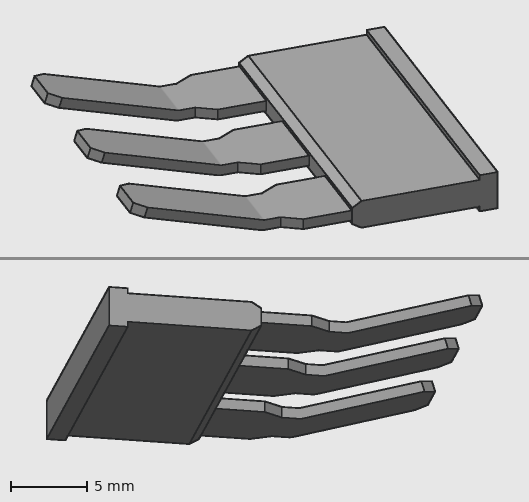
import cadquery as cq
import math

HOUSING_WIDTH = 21.2
HOUSING_DEPTH = 10.15
HOUSING_THICKNESS = 2.0
RAIL_DEPTH = 1.25
RAIL_THICKNESS = 2.7
NOSE_BEVEL_DEPTH = 0.65
NOSE_BEVEL_HEIGHT = 0.4

OVERALL_LENGTH = 25.14
BLADE_COUNT = 3
BLADE_PITCH = 8.0
BLADE_THICKNESS = 0.75
ROOT_WIDTH = 5.05
BLADE_WIDTH = 3.5
SHOULDER_START = 13.53
SHOULDER_LENGTH = 1.3
BEND_START = 15.93
BEND_ANGLE = 17.0
BEND_INNER_RADIUS = 0.35
TIP_CHAMFER_WIDTH = 0.5
TIP_CHAMFER_LENGTH = 0.85

BLADE_START = HOUSING_DEPTH - NOSE_BEVEL_DEPTH

BEND_RADIANS = math.radians(BEND_ANGLE)
BEND_OUTER_RADIUS = BEND_INNER_RADIUS + BLADE_THICKNESS
BEND_CENTRE_Z = BLADE_THICKNESS / 2 + BEND_INNER_RADIUS
LOWER_BEND_END = BEND_START + BEND_OUTER_RADIUS * math.sin(BEND_RADIANS)
ARM_LENGTH = (OVERALL_LENGTH - LOWER_BEND_END) / math.cos(BEND_RADIANS)


def make_housing():
    """Extrude the side profile, symmetric about Z = 0, across the full width."""
    half_rail = RAIL_THICKNESS / 2
    half_body = HOUSING_THICKNESS / 2
    half_nose = half_body - NOSE_BEVEL_HEIGHT
    bevel_start = HOUSING_DEPTH - NOSE_BEVEL_DEPTH
    upper_edge = [
        (0, half_rail),
        (-RAIL_DEPTH, half_rail),
        (-RAIL_DEPTH, half_body),
        (-bevel_start, half_body),
        (-HOUSING_DEPTH, half_nose),
    ]
    lower_edge = [(y, -z) for y, z in reversed(upper_edge)]
    profile = cq.Workplane("YZ").polyline(upper_edge + lower_edge).close()
    return profile.extrude(HOUSING_WIDTH / 2, both=True)


def arm_point(radius, distance):
    """Side-profile point (Y, Z) on the arm, this far past the bend, for one radius of the bend."""
    sine = math.sin(BEND_RADIANS)
    cosine = math.cos(BEND_RADIANS)
    y = -BEND_START - radius * sine - distance * cosine
    z = BEND_CENTRE_Z - radius * cosine + distance * sine
    return (y, z)


def bend_middle(radius):
    """Side-profile point (Y, Z) halfway round the bend."""
    half_angle = BEND_RADIANS / 2
    return (-BEND_START - radius * math.sin(half_angle), BEND_CENTRE_Z - radius * math.cos(half_angle))


def make_blade_strip():
    """Extrude the bent side profile of a blade at its widest width."""
    half_thickness = BLADE_THICKNESS / 2
    profile = (
        cq.Workplane("YZ")
        .moveTo(-BLADE_START, -half_thickness)
        .lineTo(-BEND_START, -half_thickness)
        .threePointArc(bend_middle(BEND_OUTER_RADIUS), arm_point(BEND_OUTER_RADIUS, 0))
        .lineTo(*arm_point(BEND_OUTER_RADIUS, ARM_LENGTH))
        .lineTo(*arm_point(BEND_INNER_RADIUS, ARM_LENGTH))
        .lineTo(*arm_point(BEND_INNER_RADIUS, 0))
        .threePointArc(bend_middle(BEND_INNER_RADIUS), (-BEND_START, half_thickness))
        .lineTo(-BLADE_START, half_thickness)
        .close()
    )
    return profile.extrude(ROOT_WIDTH / 2, both=True)


def trim_shoulders(strip):
    """Narrow the strip beyond its sloping shoulders."""
    half_root = ROOT_WIDTH / 2
    half_blade = BLADE_WIDTH / 2
    right_edge = [
        (half_root, -BLADE_START),
        (half_root, -SHOULDER_START),
        (half_blade, -(SHOULDER_START + SHOULDER_LENGTH)),
        (half_blade, -OVERALL_LENGTH),
    ]
    left_edge = [(-x, y) for x, y in reversed(right_edge)]
    outline = cq.Workplane("XY").polyline(right_edge + left_edge).close()
    return strip.intersect(outline.extrude(OVERALL_LENGTH, both=True))


def chamfer_tip(blade):
    """Cut both corners of the tip, square to the faces of the bent arm."""
    tip_y, tip_z = arm_point(BEND_INNER_RADIUS, ARM_LENGTH)
    tip_plane = cq.Plane(
        origin=(0, tip_y, tip_z),
        xDir=(1, 0, 0),
        normal=(0, math.sin(BEND_RADIANS), math.cos(BEND_RADIANS)),
    )
    half_blade = BLADE_WIDTH / 2
    for side in (-1, 1):
        corner = cq.Workplane(tip_plane).polyline([
            (side * half_blade, 0),
            (side * (half_blade - TIP_CHAMFER_WIDTH), 0),
            (side * half_blade, TIP_CHAMFER_LENGTH),
        ]).close().extrude(-BLADE_THICKNESS)
        blade = blade.cut(corner)
    return blade


def make_blade():
    return chamfer_tip(trim_shoulders(make_blade_strip()))


result = make_housing()
blade = make_blade()
for index in range(BLADE_COUNT):
    blade_x = (index - (BLADE_COUNT - 1) / 2) * BLADE_PITCH
    result = result.union(blade.translate((blade_x, 0, 0)))